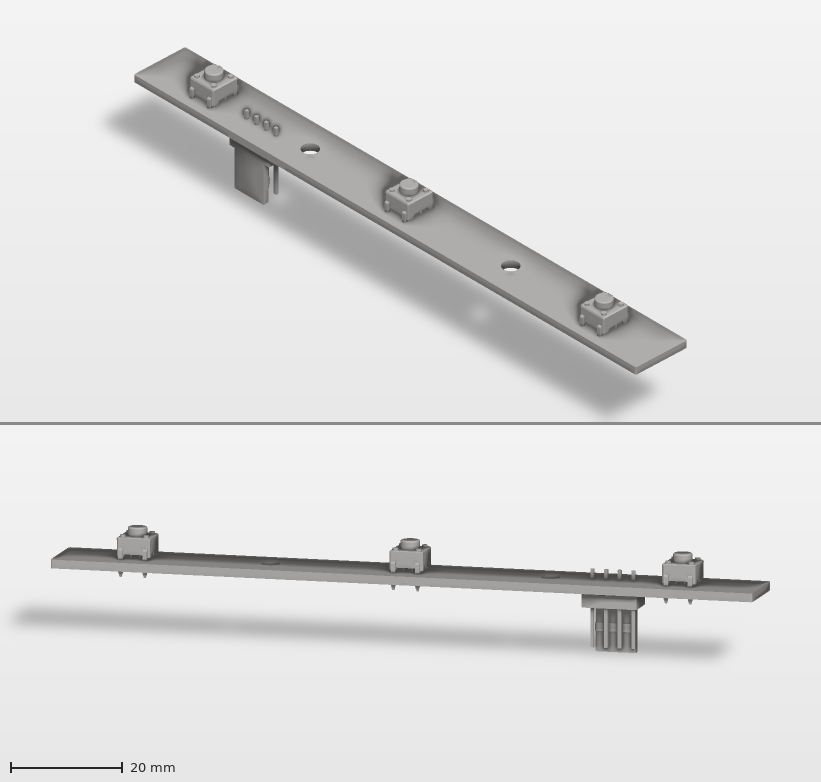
import cadquery as cq

BOARD_LENGTH = 130.25
BOARD_WIDTH = 12.75
BOARD_THICKNESS = 1.6
BOARD_CORNER_RADIUS = 0.4
MOUNT_HOLE_DIAMETER = 3.5
MOUNT_HOLE_SPACING = 52.0

SWITCH_PITCH = 50.6
SWITCH_ROW_X = 0.2
SWITCH_Y = -0.55
SWITCH_XS = [SWITCH_ROW_X + step * SWITCH_PITCH for step in (-1, 0, 1)]

BODY_SIZE = 6.2
BODY_BOTTOM = 0.4
COVER_SIZE = 6.26
CORNER_CHAMFER = 0.3
COVER_TOP = 3.9
COVER_THICKNESS = 0.4
COVER_BASE = COVER_TOP - COVER_THICKNESS
COVER_BEVEL_WIDTH = 0.3
COVER_BEVEL_HEIGHT = 0.15

RIVET_DIAMETER = 1.0
RIVET_SPACING = 4.3
RIVET_HEIGHT = 0.4

BUTTON_DIAMETER = 3.5
BUTTON_TOP = 5.5
BUTTON_EDGE_RADIUS = 0.3

CHANNEL_WIDTH = 3.6
CHANNEL_TOP = 0.85
RIB_WIDTH = 0.3
RIB_LENGTH = 3.0
RIB_SPACING = 1.6

SIDE_NOTCH_INNER = 0.2
SIDE_NOTCH_OUTER = 2.0
SIDE_NOTCH_SLANT = 0.4
SIDE_NOTCH_TOP = 1.15
SIDE_NOTCH_DEPTH = 0.3

LEG_SPACING = 4.5
LEG_WIDTH = 0.8
LEG_THICKNESS = 0.4
LEG_OUTER_Y = 3.53
LEG_INNER_Y = LEG_OUTER_Y - LEG_THICKNESS
LEG_ROOT_Y = 2.8
LEG_ROOT_TOP = 2.0
LEG_ROOT_BOTTOM = 1.4
LEG_BEND_RADIUS = 0.45
LEG_TIP_Z = -3.2
LEG_TAPER_HEIGHT = 0.9
LEG_TIP_WIDTH = 0.3
LEG_HOLE_DIAMETER = 1.0
LEG_HOLE_ROW_SPACING = 6.5

HEADER_X = -37.2
PIN_COUNT = 4
PIN_PITCH = 2.54
PIN_SIZE = 0.64
PIN_Y = -1.4
PIN_TOP = 1.65
PIN_BOTTOM = -12.6
PIN_HOLE_DIAMETER = 0.9

HOUSING_LENGTH = PIN_COUNT * PIN_PITCH
HOUSING_WIDTH = 5.8
HOUSING_HEIGHT = 3.4
HOUSING_FRONT_Y = -4.45
PIN_SLOT_WIDTH = 1.34
PIN_SLOT_DEPTH = 1.1

WALL_LENGTH = 7.45
WALL_THICKNESS = 1.2
WALL_BOTTOM = -13.7
LATCH_DEPTH = 0.4
LATCH_TOP = -8.4
LATCH_BOTTOM = -9.9

BOARD_BOTTOM = -BOARD_THICKNESS
PIN_XS = [HEADER_X + (i - (PIN_COUNT - 1) / 2) * PIN_PITCH for i in range(PIN_COUNT)]


def block(x_range, y_range, z_range):
    """Axis-aligned box given by its limits along each axis."""
    lows, highs = zip(x_range, y_range, z_range)
    sizes = [high - low for low, high in zip(lows, highs)]
    return cq.Workplane("XY").box(*sizes, centered=False).translate(lows)


def centred_range(centre, size):
    return (centre - size / 2, centre + size / 2)


def make_board():
    board = (
        cq.Workplane("XY", origin=(0, 0, BOARD_BOTTOM))
        .rect(BOARD_LENGTH, BOARD_WIDTH)
        .extrude(BOARD_THICKNESS)
        .edges("|Z")
        .fillet(BOARD_CORNER_RADIUS)
    )
    mount_points = [(-MOUNT_HOLE_SPACING / 2, 0), (MOUNT_HOLE_SPACING / 2, 0)]
    board = board.faces(">Z").workplane(origin=(0, 0, 0))
    board = board.pushPoints(mount_points).hole(MOUNT_HOLE_DIAMETER)
    pin_points = [(x, PIN_Y) for x in PIN_XS]
    board = board.faces(">Z").workplane(origin=(0, 0, 0))
    board = board.pushPoints(pin_points).hole(PIN_HOLE_DIAMETER)
    for x in SWITCH_XS:
        board = (
            board.faces(">Z")
            .workplane(origin=(x, SWITCH_Y, 0))
            .rect(LEG_SPACING, LEG_HOLE_ROW_SPACING, forConstruction=True)
            .vertices()
            .hole(LEG_HOLE_DIAMETER)
        )
    return board


def make_leg():
    """Cranked leg on the +Y side, centred on X = 0, with a tapered tip."""
    taper_start = LEG_TIP_Z + LEG_TAPER_HEIGHT
    face_profile = [
        (-LEG_WIDTH / 2, LEG_ROOT_TOP),
        (LEG_WIDTH / 2, LEG_ROOT_TOP),
        (LEG_WIDTH / 2, taper_start),
        (LEG_TIP_WIDTH / 2, LEG_TIP_Z),
        (-LEG_TIP_WIDTH / 2, LEG_TIP_Z),
        (-LEG_WIDTH / 2, taper_start),
    ]
    side_profile = (
        cq.Workplane("YZ")
        .moveTo(LEG_ROOT_Y, LEG_ROOT_TOP)
        .lineTo(LEG_OUTER_Y - LEG_BEND_RADIUS, LEG_ROOT_TOP)
        .radiusArc((LEG_OUTER_Y, LEG_ROOT_TOP - LEG_BEND_RADIUS), LEG_BEND_RADIUS)
        .lineTo(LEG_OUTER_Y, LEG_TIP_Z)
        .lineTo(LEG_INNER_Y, LEG_TIP_Z)
        .lineTo(LEG_INNER_Y, LEG_ROOT_BOTTOM)
        .lineTo(LEG_ROOT_Y, LEG_ROOT_BOTTOM)
        .close()
    )
    strip = side_profile.extrude(LEG_WIDTH / 2, both=True)
    outline = cq.Workplane("XZ").polyline(face_profile).close().extrude(-BODY_SIZE)
    return strip.intersect(outline)


def make_side_notch():
    """Trapezoidal notch in the foot of the -X face, on its +Y half."""
    profile = [
        (SIDE_NOTCH_INNER, BODY_BOTTOM),
        (SIDE_NOTCH_INNER, SIDE_NOTCH_TOP),
        (SIDE_NOTCH_OUTER - SIDE_NOTCH_SLANT, SIDE_NOTCH_TOP),
        (SIDE_NOTCH_OUTER, BODY_BOTTOM),
    ]
    plane = cq.Workplane("YZ", origin=(-BODY_SIZE / 2, 0, 0))
    return plane.polyline(profile).close().extrude(SIDE_NOTCH_DEPTH)


def four_corners(shape):
    """The shape together with its mirror images in X, in Y and in both."""
    pair = shape.union(shape.mirror("YZ"))
    return pair.union(pair.mirror("XZ"))


def make_switch():
    """One switch, centred on the Z axis and standing on Z = 0."""
    body = cq.Workplane("XY", origin=(0, 0, BODY_BOTTOM)).rect(BODY_SIZE, BODY_SIZE)
    body = body.extrude(COVER_BASE - BODY_BOTTOM).edges("|Z").chamfer(CORNER_CHAMFER)
    channel_x = centred_range(0, CHANNEL_WIDTH)
    body = body.cut(block(channel_x, centred_range(0, BODY_SIZE), (BODY_BOTTOM, CHANNEL_TOP)))
    body = body.cut(four_corners(make_side_notch()))
    for side in (-1, 1):
        rib_x = centred_range(side * RIB_SPACING / 2, RIB_WIDTH)
        body = body.union(block(rib_x, centred_range(0, RIB_LENGTH), (0, CHANNEL_TOP)))

    cover = cq.Workplane("XY", origin=(0, 0, COVER_BASE)).rect(COVER_SIZE, COVER_SIZE)
    cover = cover.extrude(COVER_THICKNESS).edges("|Z").chamfer(CORNER_CHAMFER)
    cover = cover.faces(">Z").chamfer(COVER_BEVEL_WIDTH, COVER_BEVEL_HEIGHT)

    rivets = (
        cq.Workplane("XY", origin=(0, 0, COVER_TOP))
        .rect(RIVET_SPACING, RIVET_SPACING, forConstruction=True)
        .vertices()
        .circle(RIVET_DIAMETER / 2)
        .extrude(RIVET_HEIGHT)
    )
    button = (
        cq.Workplane("XY", origin=(0, 0, COVER_TOP))
        .circle(BUTTON_DIAMETER / 2)
        .extrude(BUTTON_TOP - COVER_TOP)
        .faces(">Z")
        .edges()
        .fillet(BUTTON_EDGE_RADIUS)
    )
    legs = four_corners(make_leg().translate((LEG_SPACING / 2, 0, 0)))
    return body.union(cover).union(rivets).union(button).union(legs)


def make_header():
    housing_bottom = BOARD_BOTTOM - HOUSING_HEIGHT
    housing_y = (HOUSING_FRONT_Y, HOUSING_FRONT_Y + HOUSING_WIDTH)
    header = block(centred_range(HEADER_X, HOUSING_LENGTH), housing_y, (housing_bottom, BOARD_BOTTOM))

    wall_x = centred_range(HEADER_X, WALL_LENGTH)
    wall_back = HOUSING_FRONT_Y + WALL_THICKNESS
    header = header.union(block(wall_x, (HOUSING_FRONT_Y, wall_back), (WALL_BOTTOM, housing_bottom)))
    header = header.union(block(wall_x, (wall_back, wall_back + LATCH_DEPTH), (LATCH_BOTTOM, LATCH_TOP)))

    for x in PIN_XS:
        slot_z = (BOARD_BOTTOM - PIN_SLOT_DEPTH, BOARD_BOTTOM)
        header = header.cut(block(centred_range(x, PIN_SLOT_WIDTH), housing_y, slot_z))
    for x in PIN_XS:
        pin = block(centred_range(x, PIN_SIZE), centred_range(PIN_Y, PIN_SIZE), (PIN_BOTTOM, PIN_TOP))
        header = header.union(pin)
    return header


assembly = make_board().union(make_header())
switch = make_switch()
for switch_x in SWITCH_XS:
    assembly = assembly.union(switch.translate((switch_x, SWITCH_Y, 0)))

result = assembly